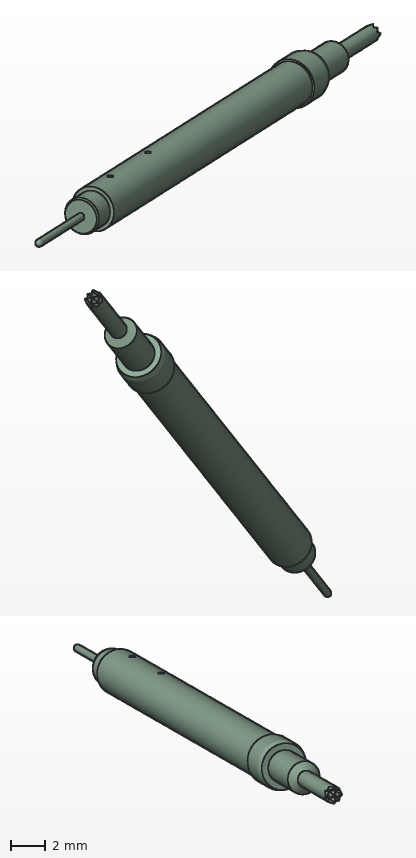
import cadquery as cq
import math

length = 42.3
tip_y = length / 2
tail_y = -length / 2

plunger_dia = 1.0
barrel_dia = 2.0
flange_dia = 3.0
flange_lip_dia = 2.8
body_dia = 2.75
plug_dia = 2.25
wire_dia = 0.45

plunger_length = 4.65
shoulder_length = 0.35
barrel_length = 3.2
flange_chamfer_length = 0.4
flange_length = 1.7
body_length = 25.0
plug_length = 1.52

plug_chamfer_length = 0.13
plug_chamfer_depth = 0.1
wire_dome_height = 0.2

crown_depth = 0.35
groove_width = 0.42
groove_offset = groove_width / 2
crown_turns = (0, 90)

dimple_dia = 0.35
dimple_depth = 0.13
dimple_offsets = (2.15, 6.9)

shoulder_y = tip_y - plunger_length
barrel_y = shoulder_y - shoulder_length
flange_lip_y = barrel_y - barrel_length
flange_y = flange_lip_y - flange_chamfer_length
body_y = flange_y - flange_length
plug_y = body_y - body_length
wire_y = plug_y - plug_length


def revolved_probe():
    """Revolve the half section (radius, Y) about the Y axis."""
    dome_radius = ((wire_dia / 2) ** 2 + wire_dome_height**2) / (2 * wire_dome_height)
    dome_mid_angle = math.asin(wire_dia / 2 / dome_radius) / 2
    dome_mid = (
        dome_radius * math.sin(dome_mid_angle),
        tail_y + dome_radius * (1 - math.cos(dome_mid_angle)),
    )
    outer_corners = [
        (0, tip_y),
        (plunger_dia / 2, tip_y),
        (plunger_dia / 2, shoulder_y),
        (barrel_dia / 2, barrel_y),
        (barrel_dia / 2, flange_lip_y),
        (flange_lip_dia / 2, flange_lip_y),
        (flange_dia / 2, flange_y),
        (flange_dia / 2, body_y),
        (body_dia / 2, body_y),
        (body_dia / 2, plug_y),
        (plug_dia / 2, plug_y),
        (plug_dia / 2, wire_y + plug_chamfer_length),
        (plug_dia / 2 - plug_chamfer_depth, wire_y),
        (wire_dia / 2, wire_y),
        (wire_dia / 2, tail_y + wire_dome_height),
    ]
    half_section = cq.Workplane("XY").polyline(outer_corners).threePointArc(dome_mid, (0, tail_y)).close()
    return half_section.revolve(360, (0, 0, 0), (0, 1, 0))


def crown_grooves(turn):
    """Pair of parallel V grooves across the plunger tip, turned about the Y axis."""
    half_width = groove_width / 2
    pair = cq.Workplane("XY")
    for x in (-groove_offset, groove_offset):
        groove = (
            cq.Workplane("XY")
            .polyline([(x - half_width, tip_y), (x + half_width, tip_y), (x, tip_y - crown_depth)])
            .close()
            .extrude(plunger_dia, both=True)
        )
        pair = pair.add(groove)
    return pair.combine().rotate((0, 0, 0), (0, 1, 0), turn)


def dimple(offset):
    """Small round recess in the top of the body, placed from the plug end."""
    return (
        cq.Workplane("XY", origin=(0, plug_y + offset, body_dia / 2 - dimple_depth))
        .circle(dimple_dia / 2)
        .extrude(2 * dimple_depth)
    )


result = revolved_probe()
for turn in crown_turns:
    result = result.cut(crown_grooves(turn))
for offset in dimple_offsets:
    result = result.cut(dimple(offset))